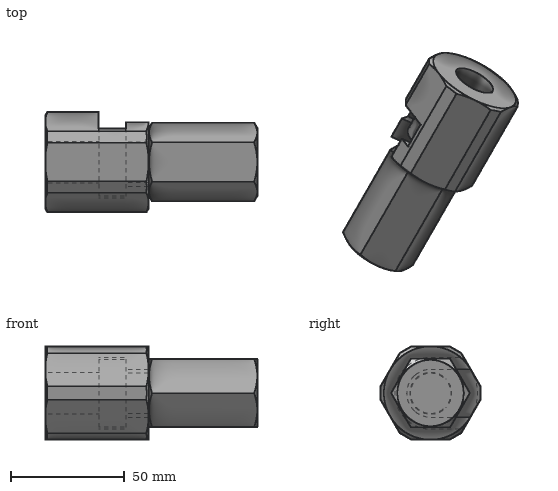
import cadquery as cq
import math

total_length = 93.5
housing_length = 45.4
chamfer_slope = math.tan(math.radians(30))

housing_flats = 41.0
housing_corners = 44.0
bore_diameter = 18.4
lip_length = 10.0
pocket_length = 12.0
pocket_width = 31.6
neck_slot_width = 21.1

stud_flats = 30.0
stud_face_diameter = 29.2
neck_diameter = 17.8
head_diameter = 29.5

pocket_end = housing_length - lip_length
pocket_start = pocket_end - pocket_length


def cylinder(diameter, start, end):
    """Round bar on the X axis from start to end."""
    return cq.Workplane("YZ", origin=(start, 0, 0)).circle(diameter / 2).extrude(end - start)


def hexagon_bar(flats, start, end, turn=0):
    """Hexagonal bar on the X axis; unturned, two of its flats face +Y and -Y."""
    bar = cq.Workplane("YZ", origin=(start, 0, 0)).polygon(6, flats, circumscribed=True).extrude(end - start)
    return bar.rotate((0, 0, 0), (1, 0, 0), turn)


def chamfer_envelope(face_diameter, corner_diameter, start, end):
    """Bar with conical ends that bevels the corners of a hexagon."""
    face_radius = face_diameter / 2
    corner_radius = corner_diameter / 2
    bevel = (corner_radius - face_radius) * chamfer_slope
    return (
        cq.Workplane("XY")
        .moveTo(start, 0)
        .lineTo(start, face_radius)
        .lineTo(start + bevel, corner_radius)
        .lineTo(end - bevel, corner_radius)
        .lineTo(end, face_radius)
        .lineTo(end, 0)
        .close()
        .revolve(360, (0, 0, 0), (1, 0, 0))
    )


def side_slot(width, start, end):
    """Slot open towards +Y, with a round bottom centred on the X axis."""
    length = end - start
    reach = housing_corners
    channel = cq.Workplane("XY").box(length, reach, width, centered=(False, False, True))
    return channel.translate((start, 0, 0)).union(cylinder(width, start, end))


def make_housing():
    corner_reach = 2 * housing_flats / math.sqrt(3)
    body = hexagon_bar(housing_flats, 0, housing_length, turn=30)
    body = body.intersect(hexagon_bar(housing_corners, 0, housing_length))
    body = body.intersect(chamfer_envelope(housing_flats, corner_reach, 0, housing_length))
    body = body.cut(cylinder(bore_diameter, 0, pocket_start))
    body = body.cut(side_slot(pocket_width, pocket_start, pocket_end))
    return body.cut(side_slot(neck_slot_width, pocket_end, housing_length))


def make_stud():
    stud_corners = 2 * stud_flats / math.sqrt(3)
    body = hexagon_bar(stud_flats, housing_length, total_length, turn=30)
    body = body.intersect(
        chamfer_envelope(stud_face_diameter, stud_corners, housing_length, total_length)
    )
    body = body.union(cylinder(neck_diameter, pocket_end, housing_length))
    return body.union(cylinder(head_diameter, pocket_start, pocket_end))


housing = make_housing()
stud = make_stud()

result = cq.Compound.makeCompound([housing.val(), stud.val()])